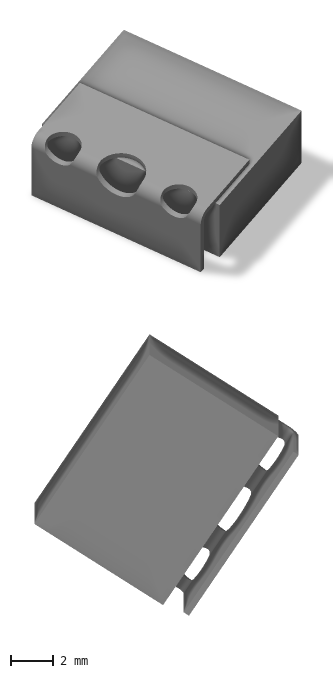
import cadquery as cq
import math

BLOCK_WIDTH = 10.0
BLOCK_DEPTH = 7.33
BLOCK_HEIGHT = 3.6

OVERALL_DEPTH = 8.65
SHEET_THICKNESS = 0.3
COVER_WIDTH = 9.52
FLAP_LENGTH = 4.35
INNER_BEND_RADIUS = 0.3

SIDE_OPENING_OFFSET = 3.25
SIDE_OPENING_RADIUS = 0.88
MIDDLE_OPENING_RADIUS = 1.2
OPENINGS = [
    (-SIDE_OPENING_OFFSET, SIDE_OPENING_RADIUS),
    (0.0, MIDDLE_OPENING_RADIUS),
    (SIDE_OPENING_OFFSET, SIDE_OPENING_RADIUS),
]
CENTER_TO_FLAP = 0.15
CENTER_TO_SKIRT = 0.6
BEND_SECTIONS = 7
CUT_MARGIN = 0.1

OUTER_BEND_RADIUS = INNER_BEND_RADIUS + SHEET_THICKNESS
COVER_TOP = BLOCK_HEIGHT + SHEET_THICKNESS
BLOCK_FRONT = OVERALL_DEPTH - BLOCK_DEPTH
BEND_AXIS_Y = OUTER_BEND_RADIUS
BEND_AXIS_Z = COVER_TOP - OUTER_BEND_RADIUS


def make_block():
    return (
        cq.Workplane("XY")
        .box(BLOCK_WIDTH, BLOCK_DEPTH, BLOCK_HEIGHT, centered=(True, False, False))
        .translate((0, BLOCK_FRONT, 0))
    )


def make_cover():
    """L-shaped sheet with concentric bend radii, extruded along X."""
    return (
        cq.Workplane("YZ")
        .moveTo(0, 0)
        .lineTo(0, BEND_AXIS_Z)
        .radiusArc((BEND_AXIS_Y, COVER_TOP), OUTER_BEND_RADIUS)
        .lineTo(FLAP_LENGTH, COVER_TOP)
        .lineTo(FLAP_LENGTH, BLOCK_HEIGHT)
        .lineTo(BEND_AXIS_Y, BLOCK_HEIGHT)
        .radiusArc((SHEET_THICKNESS, BEND_AXIS_Z), -INNER_BEND_RADIUS)
        .lineTo(SHEET_THICKNESS, 0)
        .close()
        .extrude(COVER_WIDTH / 2, both=True)
    )


def half_chord(radius, distance):
    """Half the width of a circle at a given distance from its centre."""
    return math.sqrt(radius**2 - distance**2)


def circle_segment(plane, radius, distance):
    """Part of a circle beyond a chord on local Y = 0, as a prism through the sheet."""
    half_width = half_chord(radius, distance)
    return (
        plane.moveTo(-half_width, 0)
        .threePointArc((0, radius - distance), (half_width, 0))
        .close()
        .extrude(SHEET_THICKNESS)
    )


def bend_section(center_x, radius, fraction):
    """Radial rectangle across the bend; fraction runs from 0 (flap) to 1 (skirt)."""
    distance = -CENTER_TO_FLAP + fraction * (CENTER_TO_FLAP + CENTER_TO_SKIRT)
    half_width = half_chord(radius, distance)
    angle = fraction * math.pi / 2
    inner = INNER_BEND_RADIUS - CUT_MARGIN
    outer = OUTER_BEND_RADIUS + CUT_MARGIN

    def corner(side, reach):
        return cq.Vector(
            center_x + side * half_width,
            BEND_AXIS_Y - reach * math.sin(angle),
            BEND_AXIS_Z + reach * math.cos(angle),
        )

    corners = [corner(-1, inner), corner(1, inner), corner(1, outer), corner(-1, outer)]
    return cq.Wire.makePolygon(corners, close=True)


def cut_opening(cover, center_x, radius):
    """Cut a round opening that wraps from the flap around the bend into the skirt."""
    flap_plane = cq.Workplane("XY", origin=(center_x, BEND_AXIS_Y, BLOCK_HEIGHT))
    skirt_plane = cq.Workplane(
        cq.Plane(origin=(center_x, 0, BEND_AXIS_Z), xDir=(1, 0, 0), normal=(0, 1, 0))
    )
    fractions = [step / (BEND_SECTIONS - 1) for step in range(BEND_SECTIONS)]
    sections = [bend_section(center_x, radius, fraction) for fraction in fractions]
    return (
        cover.cut(circle_segment(flap_plane, radius, CENTER_TO_FLAP))
        .cut(circle_segment(skirt_plane, radius, CENTER_TO_SKIRT))
        .cut(cq.Workplane(cq.Solid.makeLoft(sections)))
    )


cover = make_cover()
for center_x, radius in OPENINGS:
    cover = cut_opening(cover, center_x, radius)

result = make_block().union(cover)